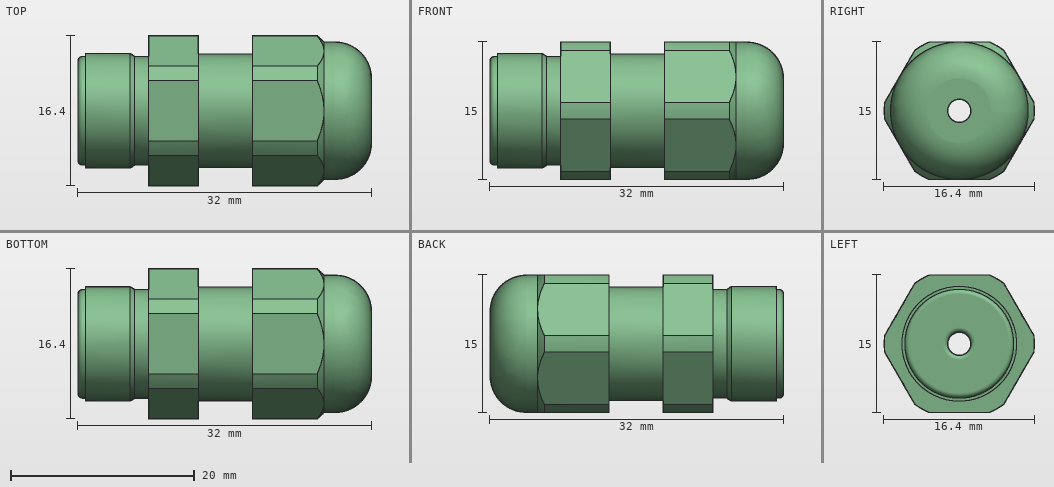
import cadquery as cq
import math


thread_start = 0.8
thread_end = 5.7
relief_start = 6.18
body_hex_start = 7.7
body_hex_end = 13.12
nut_start = 19.0
nut_bevel_start = 26.08
nut_bevel_end = 26.8
dome_start = 28.0
total_length = 32.0

bore_diameter = 2.5
neck_diameter = 11.87
barrel_diameter = 12.4
thread_diameter = 12.5
across_flats = 15.0
hex_corner_diameter = 16.4

entry_fillet = 0.5


def cylinder(start, end, diameter):
    """Solid cylinder around the X axis."""
    return cq.Workplane("YZ", origin=(start, 0, 0)).circle(diameter / 2).extrude(end - start)


def rounded_hexagon(start, end):
    """Hexagonal prism with flats at +Z and -Z and its corners turned to a cylinder."""
    corner_to_corner = across_flats / math.cos(math.pi / 6)
    prism = (
        cq.Workplane("YZ", origin=(start, 0, 0))
        .polygon(6, corner_to_corner)
        .extrude(end - start)
    )
    return prism.intersect(cylinder(start, end, hex_corner_diameter))


def threaded_end():
    """Rounded lead-in, plain thread cylinder with a tapered run-out, and relief neck."""
    neck = cylinder(0, body_hex_start, neck_diameter).faces("<X").edges().fillet(entry_fillet)
    thread = cylinder(thread_start, thread_end, thread_diameter)
    run_out = (
        cq.Workplane("YZ", origin=(thread_end, 0, 0))
        .circle(thread_diameter / 2)
        .workplane(offset=relief_start - thread_end)
        .circle(neck_diameter / 2)
        .loft(ruled=True)
    )
    return neck.union(thread).union(run_out)


def cap_nut():
    """Hexagonal nut, beveled down to a round collar that ends in a dome."""
    collar_radius = across_flats / 2
    corner_radius = hex_corner_diameter / 2
    dome_radius = total_length - dome_start
    dome_center_height = collar_radius - dome_radius
    dome_middle = (
        dome_start + dome_radius * math.sin(math.pi / 4),
        dome_center_height + dome_radius * math.cos(math.pi / 4),
    )
    turned_shape = (
        cq.Workplane("XY")
        .moveTo(nut_start, 0)
        .lineTo(nut_start, corner_radius)
        .lineTo(nut_bevel_start, corner_radius)
        .lineTo(nut_bevel_end, collar_radius)
        .lineTo(dome_start, collar_radius)
        .threePointArc(dome_middle, (total_length, dome_center_height))
        .lineTo(total_length, 0)
        .close()
        .revolve(360, (0, 0, 0), (1, 0, 0))
    )
    return turned_shape.intersect(rounded_hexagon(nut_start, total_length))


def bore():
    """Through hole with a rounded mouth at the threaded end."""
    bore_radius = bore_diameter / 2
    mouth_radius = bore_radius + entry_fillet
    arc_middle = (
        entry_fillet * (1 - math.sin(math.pi / 4)),
        mouth_radius - entry_fillet * math.cos(math.pi / 4),
    )
    return (
        cq.Workplane("XY")
        .lineTo(0, mouth_radius)
        .threePointArc(arc_middle, (entry_fillet, bore_radius))
        .lineTo(total_length, bore_radius)
        .lineTo(total_length, 0)
        .close()
        .revolve(360, (0, 0, 0), (1, 0, 0))
    )


result = (
    threaded_end()
    .union(rounded_hexagon(body_hex_start, body_hex_end))
    .union(cylinder(body_hex_end, nut_start, barrel_diameter))
    .union(cap_nut())
    .cut(bore())
)